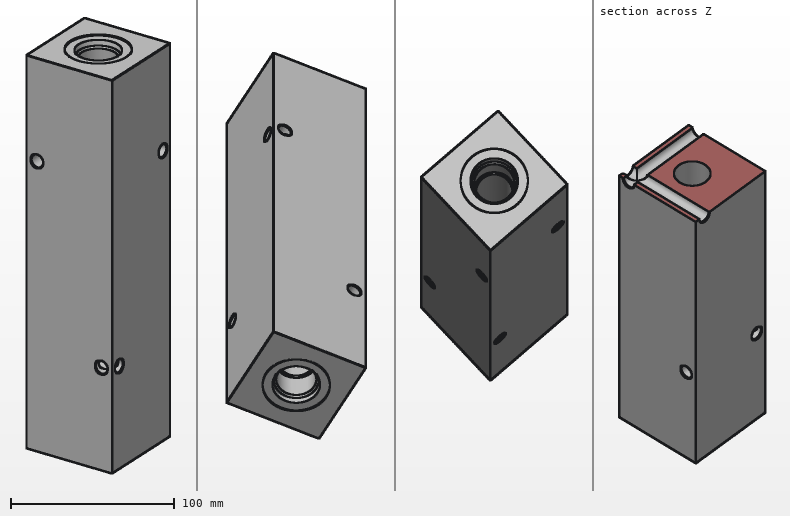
import cadquery as cq
import math

length = 266.7
width = 63.5
edge_chamfer = 0.3

bore_diameter = 22.1
spot_face_diameter = 41.0
spot_face_depth = 0.8
seal_cone_diameter = 29.0
seal_cone_angle = 15
seal_cone_depth = 3.5
port_diameter = 24.5
port_depth = 22.0
drill_tip_angle = 118

cross_hole_diameter = 8.5
cross_hole_chamfer = 0.5
cross_hole_offset = 23.7
cross_hole_height = 63.5


def end_port():
    """Revolved cutter for the upper end: spot face, seal cone, 45 degree lead-in and port hole."""
    top = length / 2
    spot_floor = top - spot_face_depth
    cone_floor = spot_floor - seal_cone_depth
    spot_radius = spot_face_diameter / 2
    cone_radius = seal_cone_diameter / 2
    cone_floor_radius = cone_radius - seal_cone_depth * math.tan(math.radians(seal_cone_angle))
    port_radius = port_diameter / 2
    lead_in = cone_floor_radius - port_radius
    port_floor = top - port_depth
    drill_tip_height = port_radius / math.tan(math.radians(drill_tip_angle / 2))
    outline = [
        (0, top),
        (spot_radius, top),
        (spot_radius, spot_floor),
        (cone_radius, spot_floor),
        (cone_floor_radius, cone_floor),
        (port_radius, cone_floor - lead_in),
        (port_radius, port_floor),
        (0, port_floor - drill_tip_height),
    ]
    return cq.Workplane("XZ").polyline(outline).close().revolve(360, (0, 0, 0), (0, 1, 0))


def cross_hole():
    """Cutter along Z through the bar width, widened by a chamfer at both mouths."""
    hole_radius = cross_hole_diameter / 2
    mouth_radius = hole_radius + cross_hole_chamfer
    face = width / 2
    chamfer_floor = face - cross_hole_chamfer
    outline = [
        (0, face),
        (mouth_radius, face),
        (hole_radius, chamfer_floor),
        (hole_radius, -chamfer_floor),
        (mouth_radius, -face),
        (0, -face),
    ]
    return cq.Workplane("XZ").polyline(outline).close().revolve(360, (0, 0, 0), (0, 1, 0))


bar = cq.Workplane("XY").box(width, width, length).edges().chamfer(edge_chamfer)
bore = cq.Workplane("XY").circle(bore_diameter / 2).extrude(length / 2, both=True)

upper_port = end_port()
lower_port = upper_port.mirror("XY")

result = bar.cut(bore).cut(upper_port).cut(lower_port)

hole_along_x = cross_hole().rotate((0, 0, 0), (0, 1, 0), 90)
hole_along_y = cross_hole().rotate((0, 0, 0), (1, 0, 0), 90)
for side in (1, -1):
    offset = side * cross_hole_offset
    height = side * cross_hole_height
    result = result.cut(hole_along_x.translate((0, offset, height)))
    result = result.cut(hole_along_y.translate((-offset, 0, height)))